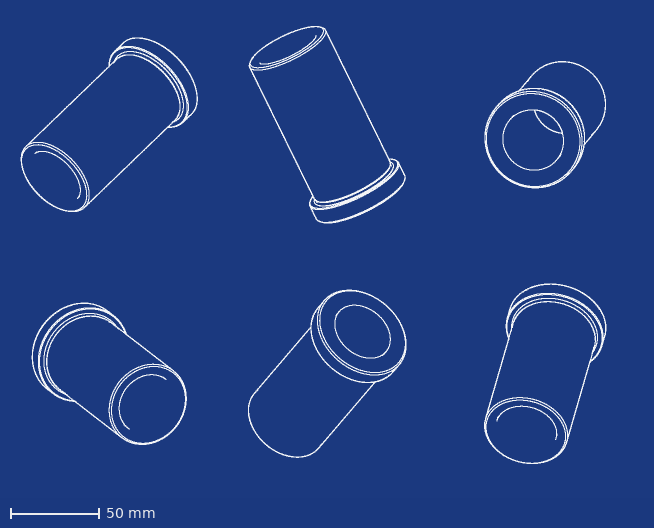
import cadquery as cq
import math

head_diameter = 56.0
head_length = 10.0
head_rear_chamfer = 1.0
shoulder_chamfer = 0.5

body_diameter = 48.0
body_length = 90.0
end_chamfer = 1.0

lead_in_length = 3.0
lead_in_depth = 0.03

bore_diameter = 35.0
bore_mouth_radius = 2.0

groove_diameter = 47.0
groove_length = 2.1
groove_runout = 0.7
recess_diameter = 49.6
undercut_radius = 0.5

head_radius = head_diameter / 2
body_radius = body_diameter / 2
bore_radius = bore_diameter / 2
groove_radius = groove_diameter / 2
recess_radius = recess_diameter / 2
lead_in_radius = body_radius - lead_in_depth

arc_center_y = recess_radius - groove_radius - undercut_radius * (1 + math.sqrt(2))
cone_end_y = arc_center_y + undercut_radius / math.sqrt(2)


def bush_blank():
    """Revolve the solid outer profile, drawn as (position along Y, radius)."""
    profile = (
        cq.Workplane("YZ")
        .moveTo(-body_length, 0)
        .lineTo(-body_length, lead_in_radius - end_chamfer)
        .lineTo(-body_length + end_chamfer, lead_in_radius)
        .lineTo(-body_length + lead_in_length, body_radius)
        .lineTo(-groove_length, body_radius)
        .lineTo(-groove_length + groove_runout, groove_radius)
        .lineTo(arc_center_y, groove_radius)
        .radiusArc((cone_end_y, recess_radius - cone_end_y), -undercut_radius)
        .lineTo(0, recess_radius)
        .lineTo(0, head_radius - shoulder_chamfer)
        .lineTo(shoulder_chamfer, head_radius)
        .lineTo(head_length - head_rear_chamfer, head_radius)
        .lineTo(head_length, head_radius - head_rear_chamfer)
        .lineTo(head_length, 0)
        .close()
    )
    return profile.revolve(360, (0, 0, 0), (1, 0, 0))


def bore_cutter():
    """Through bore with a rounded mouth at the free end of the body."""
    mouth_radius = bore_radius + bore_mouth_radius
    profile = (
        cq.Workplane("YZ")
        .moveTo(-body_length, 0)
        .lineTo(-body_length, mouth_radius)
        .radiusArc((-body_length + bore_mouth_radius, bore_radius), -bore_mouth_radius)
        .lineTo(head_length, bore_radius)
        .lineTo(head_length, 0)
        .close()
    )
    return profile.revolve(360, (0, 0, 0), (1, 0, 0))


result = bush_blank().cut(bore_cutter())